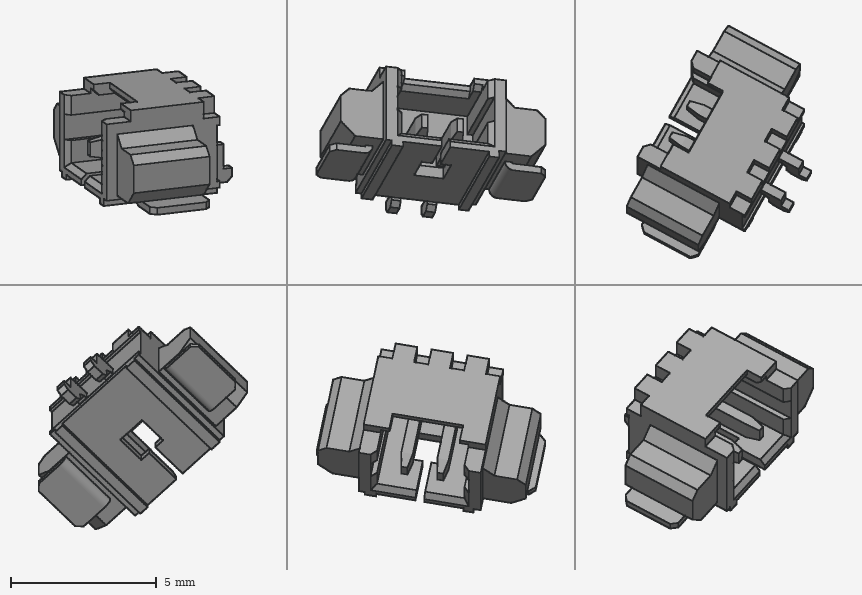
import cadquery as cq


body_width = 4.25
body_depth = 4.2
body_top = 3.4
base_z = 0.18
side_top = 3.0
roof_front = 0.9
roof_notch_width = 2.46
roof_notch_depth = 0.6
roof_notch_back = roof_front + roof_notch_depth

cavity_width = 3.435
cavity_depth = 3.0
mouth_floor = 0.4
rib_depth = 0.19
lower_rib_top = 1.39
upper_rib_bottom = 2.3
cavity_floor = mouth_floor + rib_depth
inner_width = cavity_width - 2 * rib_depth

slot_width = 0.3
slot_back_width = 1.04
slot_back_start = 1.35
slot_back_length = 1.04

left_foot_inset = 0.21
right_foot_inset = 0.25
right_edge_z = 0.26

pitch = 1.255
rear_notch_count = 4
rear_notch_width = 0.5
rear_notch_size = 0.6
rear_recess_depth = 0.1
rear_recess_bottom = 0.49
rear_recess_top = 2.495

ear_reach = 3.625
ear_front = 0.4
ear_length = 2.81
ear_bottom = 0.4
ear_top = 2.195
ear_top_bevel = 0.3
ear_bottom_bevel = 0.505
gusset = 0.405

tab_reach = 3.825
tab_bottom = 0.09
tab_thickness = 0.25
tab_front = 0.995
tab_length = 2.2
tab_corner = 0.2
tab_inner_x = 2.34
tab_bend_inner = ear_bottom - tab_bottom - tab_thickness
tab_bend_outer = tab_bend_inner + tab_thickness

blade_width = 0.4
blade_height = 0.69
blade_bottom = 0.97
blade_tip_y = 0.48
blade_taper = 0.505
blade_bevel = 0.09

tail_pitch = 1.26
tail_width = 0.33
tail_strip = 0.48
tail_top = 1.37
tail_back = 4.89
tail_end = 5.2
tail_toe_top = 0.49
tail_toe_bevel = 0.19
tail_bend_bevel = 0.2

rear_face = body_depth - rear_recess_depth
contact_joint = (cavity_depth + rear_face) / 2


def block(x_range, y_range, z_range):
    """Box that spans the given ranges."""
    size = [high - low for low, high in (x_range, y_range, z_range)]
    corner = (x_range[0], y_range[0], z_range[0])
    return cq.Workplane("XY").box(*size, centered=False).translate(corner)


def centred(width, middle=0.0):
    """Range of the given width about a middle value."""
    return (middle - width / 2, middle + width / 2)


def extrude_along_y(points, y_start, length):
    """Solid with an outline of (x, z) points that runs backward from y_start."""
    return cq.Workplane("XZ", origin=(0, y_start, 0)).polyline(points).close().extrude(-length)


def extrude_along_x(points, width, middle=0.0):
    """Solid with an outline of (y, z) points, centred on x = middle."""
    start = middle - width / 2
    return cq.Workplane("YZ", origin=(start, 0, 0)).polyline(points).close().extrude(width)


def make_shell():
    """Outer block with the stepped underside, the cut-back roof and its notch."""
    half = body_width / 2
    foot_inner = inner_width / 2
    left_foot = -half + left_foot_inset
    right_foot = half - right_foot_inset
    outline = [
        (-half, body_top),
        (-half, base_z),
        (left_foot, base_z),
        (left_foot, 0),
        (-foot_inner, 0),
        (-foot_inner, base_z),
        (foot_inner, base_z),
        (foot_inner, 0),
        (right_foot, 0),
        (right_foot, right_edge_z),
        (half, right_edge_z),
        (half, body_top),
    ]
    shell = extrude_along_y(outline, 0, body_depth)
    roof_step = block(centred(body_width), (0, roof_front), (side_top, body_top))
    roof_notch = block(centred(roof_notch_width), (0, roof_notch_back), (side_top, body_top))
    return shell.cut(roof_step).cut(roof_notch)


def make_cavity():
    """Space inside the housing: open front, side grooves and bevelled mouth."""
    cavity = block(centred(inner_width), (0, cavity_depth), (cavity_floor, side_top))
    grooves = block(centred(cavity_width), (0, cavity_depth), (lower_rib_top, upper_rib_bottom))

    mouth_height = side_top - mouth_floor
    inner_height = side_top - cavity_floor
    mouth = (
        cq.Workplane("XZ")
        .center(0, side_top - mouth_height / 2)
        .rect(cavity_width, mouth_height)
        .workplane(offset=-rib_depth)
        .center(0, (mouth_height - inner_height) / 2)
        .rect(inner_width, inner_height)
        .loft(ruled=True)
    )
    return cavity.union(grooves).union(mouth)


def make_roof_bevel(width, front):
    """Wedge that bevels the lower front edge of the roof."""
    wedge = [
        (front, side_top),
        (front + rib_depth, side_top),
        (front, side_top + rib_depth),
    ]
    return extrude_along_x(wedge, width)


def make_floor_slot():
    """Slot through the floor, wider at the back."""
    z_range = (0, cavity_floor)
    narrow = block(centred(slot_width), (0, slot_back_start), z_range)
    slot_end = slot_back_start + slot_back_length
    wide = block(centred(slot_back_width), (slot_back_start, slot_end), z_range)
    return narrow.union(wide)


def cut_rear(housing):
    """Cut the row of notches along the top rear edge and the shallow rear recess."""
    y_range = (body_depth - rear_notch_size, body_depth)
    z_range = (body_top - rear_notch_size, body_top)
    for index in range(rear_notch_count):
        x = (index - (rear_notch_count - 1) / 2) * pitch
        housing = housing.cut(block(centred(rear_notch_width, x), y_range, z_range))
    recess = block(
        centred(body_width),
        (rear_face, body_depth),
        (rear_recess_bottom, rear_recess_top),
    )
    return housing.cut(recess)


def make_ear(side):
    """Ear on one side of the housing (side is -1 or 1)."""
    wall = body_width / 2
    outline = [
        (wall, ear_bottom),
        (ear_reach - ear_bottom_bevel, ear_bottom),
        (ear_reach, ear_bottom + ear_bottom_bevel),
        (ear_reach, ear_top - ear_top_bevel),
        (ear_reach - ear_top_bevel, ear_top),
        (wall + gusset, ear_top),
        (wall, ear_top + gusset),
    ]
    return extrude_along_y([(side * x, z) for x, z in outline], ear_front, ear_length)


def make_housing(contact_parts):
    """Moulded housing with its ears and the holes for the contacts."""
    housing = make_shell().cut(make_cavity()).cut(make_floor_slot())
    housing = housing.cut(make_roof_bevel(inner_width, roof_front))
    housing = housing.cut(make_roof_bevel(roof_notch_width, roof_notch_back))
    housing = cut_rear(housing)
    for side in (-1, 1):
        housing = housing.union(make_ear(side))
    for contact_part in contact_parts:
        housing = housing.cut(contact_part)
    return housing


def make_blade(x):
    """Straight contact blade with a tapered tip."""
    taper_end = blade_tip_y + blade_taper
    z_range = (blade_bottom, blade_bottom + blade_height)
    shank = block(centred(blade_width, x), (taper_end, contact_joint), z_range)
    tip = (
        cq.Workplane("XZ", origin=(x, taper_end, blade_bottom + blade_height / 2))
        .rect(blade_width, blade_height)
        .workplane(offset=blade_taper)
        .rect(blade_width - 2 * blade_bevel, blade_height - 2 * blade_bevel)
        .loft(ruled=True)
    )
    return shank.union(tip)


def make_tail(x):
    """Contact tail that steps down behind the housing to the mounting plane."""
    leg_front = tail_back - tail_strip
    arm_bottom = tail_top - tail_strip
    outline = [
        (contact_joint, tail_top),
        (tail_back, tail_top),
        (tail_back, tail_toe_top),
        (tail_end, tail_toe_top),
        (tail_end, tail_toe_bevel),
        (tail_end - tail_toe_bevel, 0),
        (leg_front + tail_toe_bevel, 0),
        (leg_front, tail_toe_bevel),
        (leg_front, arm_bottom - tail_bend_bevel),
        (leg_front - tail_bend_bevel, arm_bottom),
        (contact_joint, arm_bottom),
    ]
    return extrude_along_x(outline, tail_width, x)


def make_tab(side):
    """Solder tab that bends up against the underside of an ear (side is -1 or 1)."""
    tab_top = tab_bottom + tab_thickness
    leg_outer_x = tab_inner_x + tab_thickness
    bend_x = tab_inner_x + tab_bend_outer
    tab = (
        cq.Workplane("XZ", origin=(0, tab_front, 0))
        .moveTo(tab_reach, tab_bottom)
        .lineTo(tab_reach, tab_top)
        .lineTo(bend_x, tab_top)
        .radiusArc((leg_outer_x, ear_bottom), tab_bend_inner)
        .lineTo(tab_inner_x, ear_bottom)
        .radiusArc((bend_x, tab_bottom), -tab_bend_outer)
        .close()
        .extrude(-tab_length)
        .edges("|Z and >X")
        .chamfer(tab_corner)
    )
    if side < 0:
        tab = tab.mirror("YZ")
    return tab


blades = [make_blade(side * pitch / 2) for side in (-1, 1)]
tails = [make_tail(side * tail_pitch / 2) for side in (-1, 1)]
tabs = [make_tab(side) for side in (-1, 1)]
housing = make_housing(blades + tails)

result = cq.Compound.makeCompound([body.val() for body in [housing, *blades, *tails, *tabs]])